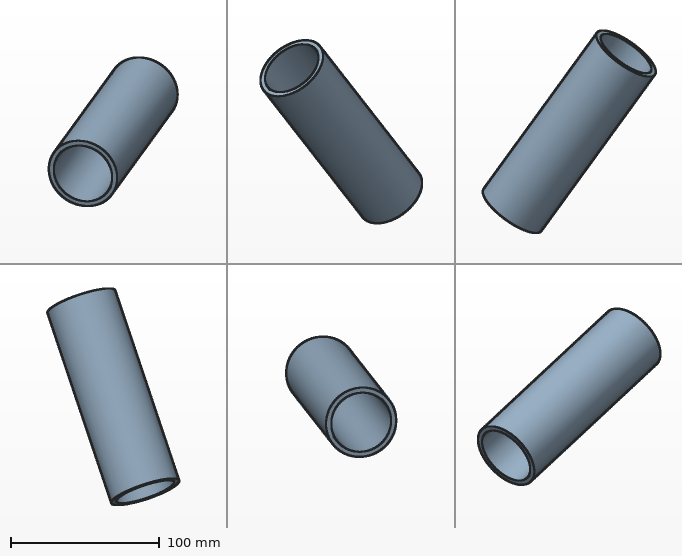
import cadquery as cq

length = 138.0
outer_diameter = 48.3
wall_thickness = 3.6
inner_diameter = outer_diameter - 2 * wall_thickness

result = (
    cq.Workplane("XZ", origin=(0, length / 2, 0))
    .circle(outer_diameter / 2)
    .circle(inner_diameter / 2)
    .extrude(length)
)